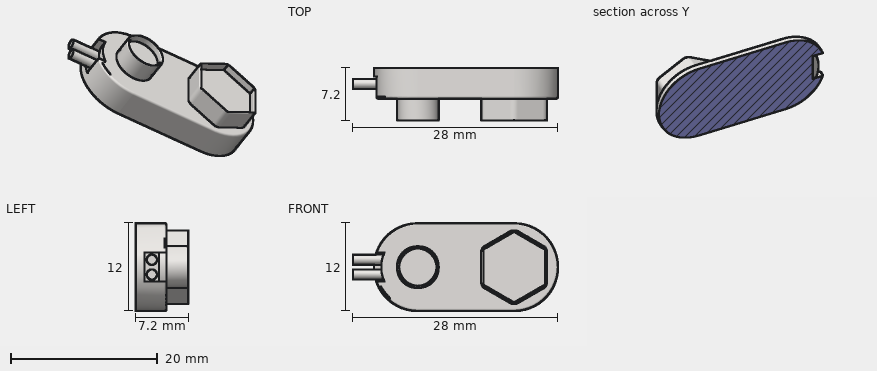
import cadquery as cq
import math

total_length = 28.0
body_width = 12.0
body_thickness = 4.23
body_edge = 0.3
boss_height = 2.97

end_radius = body_width / 2
right_center_x = total_length - end_radius
center_spacing = 13.13
left_center_x = right_center_x - center_spacing
body_center_x = (left_center_x + right_center_x) / 2

round_diameter = 5.7
round_recess_diameter = 5.1
round_rim_radius = (round_diameter - round_recess_diameter) / 4

hex_across_flats = 9.0
hex_corner_radius = 1.0
hex_wall = 0.3
hex_rim_edge = 0.08

recess_depth = 1.0

wall = 1.0
entry_width = 3.98
entry_depth = 3.02
entry_end_x = 4.75
cable_diameter = 1.4
cable_spacing = 2.02
cable_y = (wall + entry_depth) / 2


def front_plane(y):
    """Plane at depth y whose normal points out of the front (-Y)."""
    return cq.Workplane("XZ", origin=(0, y, 0))


def make_body():
    """Slot-shaped slab with its front face at Y = 0 and a softened front edge."""
    slab = (
        front_plane(body_thickness)
        .center(body_center_x, 0)
        .slot2D(center_spacing + body_width, body_width)
        .extrude(body_thickness)
    )
    return slab.faces("<Y").edges().fillet(body_edge)


def make_round_boss():
    """Cylinder with a shallow round recess and a fully rounded rim."""
    rim_y = round_rim_radius - boss_height
    boss = (
        front_plane(0)
        .center(left_center_x, 0)
        .circle(round_diameter / 2)
        .extrude(-rim_y)
    )
    recess = (
        front_plane(recess_depth - boss_height)
        .center(left_center_x, 0)
        .circle(round_recess_diameter / 2)
        .extrude(recess_depth)
    )
    rim = cq.Solid.makeTorus(
        round_diameter / 2 - round_rim_radius,
        round_rim_radius,
        cq.Vector(left_center_x, rim_y, 0),
        cq.Vector(0, -1, 0),
    )
    return boss.cut(recess).union(cq.Workplane(rim))


def hex_prism(across_flats, base_y, height):
    """Hexagonal prism with one pair of flats facing along X."""
    corner_diameter = across_flats / math.cos(math.pi / 6)
    return (
        front_plane(base_y)
        .center(right_center_x, 0)
        .transformed(rotate=(0, 0, 30))
        .polygon(6, corner_diameter)
        .extrude(height)
    )


def make_hex_boss():
    """Hexagonal boss with rounded corners, a sharp-cornered recess and a rounded rim."""
    boss = hex_prism(hex_across_flats, 0, boss_height).edges("|Y").fillet(hex_corner_radius)
    recess_across_flats = hex_across_flats - 2 * hex_wall
    recess = hex_prism(recess_across_flats, recess_depth - boss_height, recess_depth)
    return boss.cut(recess).faces("<Y").edges().fillet(hex_rim_edge)


def make_cable_entry():
    """Cutter: an arc-ended notch at the front with a deeper flat-ended pocket behind it."""
    notch = cq.Workplane("XY").box(
        left_center_x, wall, entry_width, centered=(False, False, True)
    )
    end_core = front_plane(wall).center(left_center_x, 0).circle(end_radius - wall).extrude(wall)
    pocket = (
        cq.Workplane("XY", origin=(0, wall, 0))
        .box(entry_end_x, entry_depth - wall, entry_width, centered=(False, False, True))
    )
    return notch.cut(end_core).union(pocket)


def make_cables():
    """Two parallel cable stubs running along X into the end of the pocket."""
    return (
        cq.Workplane("YZ")
        .pushPoints([(cable_y, -cable_spacing / 2), (cable_y, cable_spacing / 2)])
        .circle(cable_diameter / 2)
        .extrude(entry_end_x)
    )


result = (
    make_body()
    .cut(make_cable_entry())
    .union(make_cables())
    .union(make_round_boss())
    .union(make_hex_boss())
)